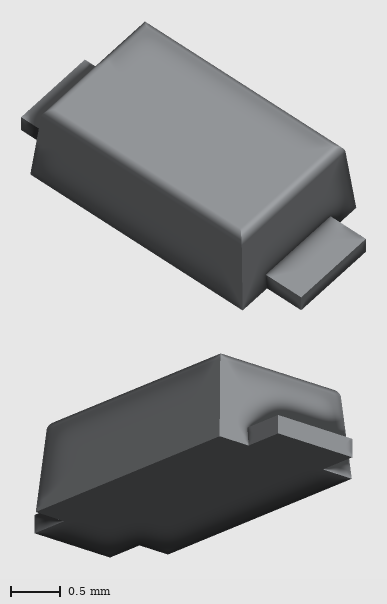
import cadquery as cq
import math

overall_length = 3.7
body_length = 2.8
body_width = 1.78
body_height = 0.98
draft_angle = 5.0
edge_radius = 0.1
lead_thickness = 0.2
left_lead_width = 1.0
right_lead_width = 1.015

wall_lean = lead_thickness * math.tan(math.radians(draft_angle))


def make_body():
    """Drafted block, wide at the base, with rounded top edges."""
    block = cq.Workplane("XY").rect(body_length, body_width).extrude(body_height, taper=draft_angle)
    return block.faces(">Z").edges().fillet(edge_radius)


def make_lead(side, width):
    """Flat lead whose inner end follows the drafted wall; side is -1 (left) or +1 (right)."""
    outer_x = side * overall_length / 2
    wall_x = side * body_length / 2
    profile = [
        (outer_x, 0),
        (outer_x, lead_thickness),
        (wall_x - side * wall_lean, lead_thickness),
        (wall_x, 0),
    ]
    return cq.Workplane("XZ").polyline(profile).close().extrude(width / 2, both=True)


body = make_body()
leads = [make_lead(side, width) for side, width in ((-1, left_lead_width), (1, right_lead_width))]

result = cq.Compound.makeCompound([body.val(), *[lead.val() for lead in leads]])